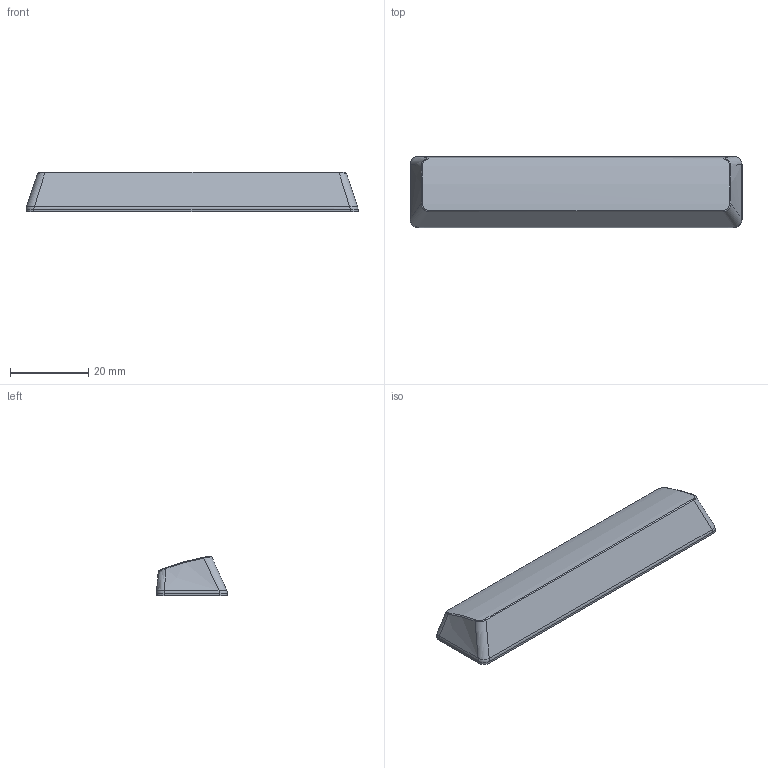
import cadquery as cq
import math

length = 84.84
depth = 18.16
height = 10.16
corner_radius = 2.0

blend_start = 0.55
blend_end = 1.35

front_draft = math.radians(24.1)
back_draft = math.radians(5.0)
end_inset = 2.9

back_edge_height = 6.4
crown_radius = 55.0
top_edge_radius = 0.35
front_rounding_loss = 0.04
taper_extension = 1.1

front_edge_height = height + front_rounding_loss
taper_origin = (blend_start + blend_end) / 2
mean_taper_height = (front_edge_height + back_edge_height) / 2 - taper_origin
end_slope = end_inset / mean_taper_height


def front_wall_y(z):
    """Y of the tapered front wall at height z."""
    return -depth / 2 + (z - taper_origin) * math.tan(front_draft)


def back_wall_y(z):
    """Y of the tapered back wall at height z."""
    return depth / 2 - (z - taper_origin) * math.tan(back_draft)


def rounded_rectangle(plane, width, span):
    """Closed wire of a rounded rectangle centred on the plane's origin."""
    sketch = cq.Sketch().rect(width, span).vertices().fillet(corner_radius)
    return sketch.reset().faces().val().outerWire().moved(plane.location)


def blend_outline(z):
    """Outline inside the blend, where the slope grows evenly from zero to the full taper."""
    blended_rise = (z - blend_start) ** 2 / (2 * (blend_end - blend_start))
    front_y = -depth / 2 + blended_rise * math.tan(front_draft)
    back_y = depth / 2 - blended_rise * math.tan(back_draft)
    level = cq.Plane.XY(origin=(0, (front_y + back_y) / 2, z))
    return rounded_rectangle(level, length - 2 * blended_rise * end_slope, back_y - front_y)


def sloping_outline():
    """Upper outline of the taper, tilted down to the back and clear of the crown."""
    front_z = taper_origin + taper_extension * (front_edge_height - taper_origin)
    back_z = taper_origin + taper_extension * (back_edge_height - taper_origin)
    front_y = front_wall_y(front_z)
    back_y = back_wall_y(back_z)
    run = back_y - front_y
    drop = front_z - back_z
    sloping_plane = cq.Plane(
        origin=(0, (front_y + back_y) / 2, (front_z + back_z) / 2),
        xDir=(1, 0, 0),
        normal=(0, drop, run),
    )
    width = length - 2 * taper_extension * end_inset
    return rounded_rectangle(sloping_plane, width, math.hypot(run, drop))


def make_skirt():
    """Vertical foot of the walls and the curved blend above it."""
    foot = (
        cq.Workplane("XY").rect(length, depth).extrude(blend_start).edges("|Z").fillet(corner_radius)
    )
    blend_levels = (blend_start, taper_origin, blend_end)
    blend = cq.Solid.makeLoft([blend_outline(z) for z in blend_levels])
    return foot.union(cq.Workplane(obj=blend))


def make_crown_cylinder():
    """Cylinder along X whose surface joins the front and back top edges."""
    front_y = front_wall_y(front_edge_height)
    back_y = back_wall_y(back_edge_height)
    run = back_y - front_y
    drop = front_edge_height - back_edge_height
    chord = math.hypot(run, drop)
    centre_distance = math.sqrt(crown_radius**2 - (chord / 2) ** 2)
    centre_y = (front_y + back_y) / 2 - centre_distance * drop / chord
    centre_z = (front_edge_height + back_edge_height) / 2 - centre_distance * run / chord
    axis_plane = cq.Workplane("YZ").center(centre_y, centre_z)
    return axis_plane.circle(crown_radius).extrude(length / 2, both=True)


def make_crowned_cap():
    """Tapered upper body trimmed by the crown, with its top edge rounded."""
    taper = cq.Solid.makeLoft([blend_outline(blend_end), sloping_outline()], True)
    cap = cq.Workplane(obj=taper).intersect(make_crown_cylinder())
    return cap.faces(">Z").edges().fillet(top_edge_radius)


result = make_skirt().union(make_crowned_cap())